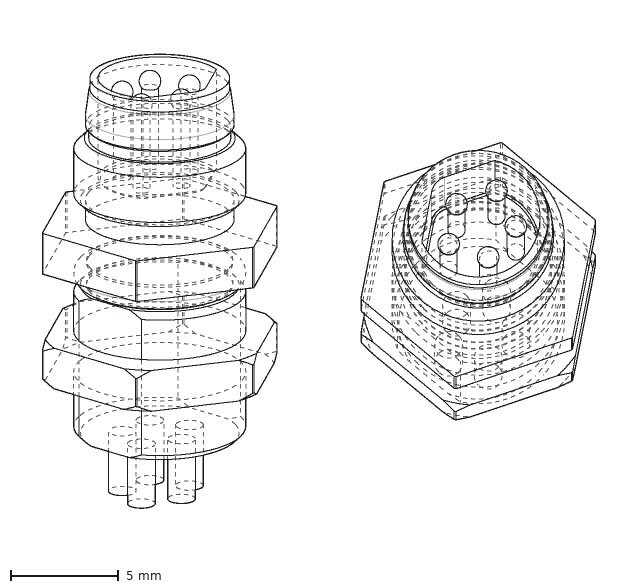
import cadquery as cq
import math

TOTAL_HEIGHT = 20.5
BODY_BOTTOM = 3.0
NUT_BOTTOM = 6.0
BODY_TOP = 10.3
FLANGE_BOTTOM = 11.5
HEX_THICKNESS = 2.0
FLANGE_TOP = FLANGE_BOTTOM + HEX_THICKNESS
COLLAR_BOTTOM = 14.5
COLLAR_TOP = 17.53
SNAP_RING_BOTTOM = 18.06
SNAP_RING_TOP = 18.7
NOSE_STEP_BOTTOM = 19.86
NOSE_STEP_TOP = 19.99

BODY_DIAMETER = 8.0
COLLAR_DIAMETER = BODY_DIAMETER
NECK_DIAMETER = 6.9
SEAL_GROOVE_DIAMETER = 6.8
SNAP_RING_DIAMETER = NECK_DIAMETER
LATCH_GROOVE_DIAMETER = 6.6
NOSE_DIAMETER = 6.5

EDGE_CHAMFER = 0.3
COLLAR_TOP_CHAMFER = 0.5
SNAP_RING_CHAMFER = 0.12

HEX_ACROSS_FLATS = 10.0
HEX_ACROSS_CORNERS = 11.5

BODY_ACROSS_FLATS = 7.01

SEAL_SECTION_DIAMETER = 1.0

SOCKET_RADIUS = 2.87
SOCKET_DEPTH = 5.0
SOCKET_FLOOR_CHAMFER = 0.1
KEY_FLAT_DISTANCE = 2.35
KEY_HALF_ANGLE = 30.0
KEY_TIP_RADIUS = 0.92

PIN_DIAMETER = 0.8
PIN_BALL_DIAMETER = 1.0
PIN_TOP = 20.23
WIRE_DIAMETER = 1.3
WIRE_END = 0.05
LONG_CONTACT = (0.35, 1.7)
CONTACTS = [LONG_CONTACT, (0.35, -1.7), (-1.45, 0.98), (-1.45, -0.98), (1.33, 0.0)]


def cylinder(diameter, bottom, top, center=(0, 0)):
    """Round bar between two heights."""
    return cq.Workplane("XY", origin=(*center, bottom)).circle(diameter / 2).extrude(top - bottom)


def hexagon(bottom):
    """Hexagonal plate with flats facing +/-Y and corners turned to the outer diameter."""
    sharp_corners = HEX_ACROSS_FLATS / math.cos(math.radians(30))
    plate = cq.Workplane("XY", origin=(0, 0, bottom)).polygon(6, sharp_corners).extrude(HEX_THICKNESS)
    return plate.intersect(cylinder(HEX_ACROSS_CORNERS, bottom, bottom + HEX_THICKNESS))


def lower_body():
    """Chamfered round body with two flats facing +/-Y."""
    height = BODY_TOP - BODY_BOTTOM
    body = cylinder(BODY_DIAMETER, BODY_BOTTOM, BODY_TOP).faces("<Z or >Z").chamfer(EDGE_CHAMFER)
    flats = cq.Workplane("XY", origin=(0, 0, BODY_BOTTOM)).rect(BODY_DIAMETER, BODY_ACROSS_FLATS)
    return body.intersect(flats.extrude(height))


def nut():
    """Hexagonal nut, chamfered on both faces, with a round bore that clears the body flats."""
    top = NUT_BOTTOM + HEX_THICKNESS
    envelope = cylinder(HEX_ACROSS_CORNERS, NUT_BOTTOM, top).faces("<Z or >Z").chamfer(EDGE_CHAMFER)
    bore = cylinder(BODY_DIAMETER, NUT_BOTTOM, top)
    return hexagon(NUT_BOTTOM).intersect(envelope).cut(bore)


def seal():
    """O-ring centred in the groove between the body and the flange."""
    ring_radius = (BODY_DIAMETER - SEAL_SECTION_DIAMETER) / 2
    section = cq.Workplane("XZ").center(ring_radius, (BODY_TOP + FLANGE_BOTTOM) / 2)
    profile = section.circle(SEAL_SECTION_DIAMETER / 2)
    return profile.revolve(360, (-ring_radius, 0, 0), (-ring_radius, 1, 0))


def plug_nose():
    """Turned end above the flange: neck, collar, latch groove, snap ring and tapered nose."""
    neck = NECK_DIAMETER / 2
    collar = COLLAR_DIAMETER / 2
    groove = LATCH_GROOVE_DIAMETER / 2
    ring = SNAP_RING_DIAMETER / 2
    nose = NOSE_DIAMETER / 2
    profile = [
        (0, FLANGE_TOP),
        (neck, FLANGE_TOP),
        (neck, COLLAR_BOTTOM),
        (collar - EDGE_CHAMFER, COLLAR_BOTTOM),
        (collar, COLLAR_BOTTOM + EDGE_CHAMFER),
        (collar, COLLAR_TOP - COLLAR_TOP_CHAMFER),
        (collar - COLLAR_TOP_CHAMFER, COLLAR_TOP),
        (groove, COLLAR_TOP),
        (groove, SNAP_RING_BOTTOM),
        (ring, SNAP_RING_BOTTOM + SNAP_RING_CHAMFER),
        (ring, SNAP_RING_TOP),
        (groove, NOSE_STEP_BOTTOM),
        (nose, NOSE_STEP_TOP),
        (nose, TOTAL_HEIGHT),
        (0, TOTAL_HEIGHT),
    ]
    return cq.Workplane("XZ").polyline(profile).close().revolve(360, (0, 0, 0), (0, 1, 0))


def socket():
    """Cavity with a chamfered floor edge: a circle cut by two flats that meet in a rounded tip toward +X."""
    half_angle = math.radians(KEY_HALF_ANGLE)
    corner_angle = half_angle + math.acos(KEY_FLAT_DISTANCE / SOCKET_RADIUS)
    corner_x = SOCKET_RADIUS * math.cos(corner_angle)
    corner_y = SOCKET_RADIUS * math.sin(corner_angle)
    arc_center_x = (KEY_FLAT_DISTANCE - KEY_TIP_RADIUS) / math.cos(half_angle)
    tangent_x = arc_center_x + KEY_TIP_RADIUS * math.cos(half_angle)
    tangent_y = KEY_TIP_RADIUS * math.sin(half_angle)
    outline = (
        cq.Workplane("XY", origin=(0, 0, TOTAL_HEIGHT))
        .moveTo(corner_x, -corner_y)
        .lineTo(tangent_x, -tangent_y)
        .threePointArc((arc_center_x + KEY_TIP_RADIUS, 0), (tangent_x, tangent_y))
        .lineTo(corner_x, corner_y)
        .threePointArc((-SOCKET_RADIUS, 0), (corner_x, -corner_y))
        .close()
    )
    return outline.extrude(-SOCKET_DEPTH).faces("<Z").chamfer(SOCKET_FLOOR_CHAMFER)


def contact(center):
    """Ball-ended pin standing on the socket floor."""
    ball_height = PIN_TOP - PIN_BALL_DIAMETER / 2
    ball = cq.Workplane("XY", origin=(*center, ball_height)).sphere(PIN_BALL_DIAMETER / 2)
    return cylinder(PIN_DIAMETER, FLANGE_TOP, ball_height, center).union(ball)


def wire(center):
    """Wire leaving the underside of the body; one of them is slightly longer."""
    end = 0 if center == LONG_CONTACT else WIRE_END
    return cylinder(WIRE_DIAMETER, end, NUT_BOTTOM, center)


result = lower_body().union(nut())
result = result.union(cylinder(SEAL_GROOVE_DIAMETER, BODY_TOP, FLANGE_BOTTOM)).union(seal())
result = result.union(hexagon(FLANGE_BOTTOM)).union(plug_nose()).cut(socket())
for position in CONTACTS:
    result = result.union(contact(position)).union(wire(position))